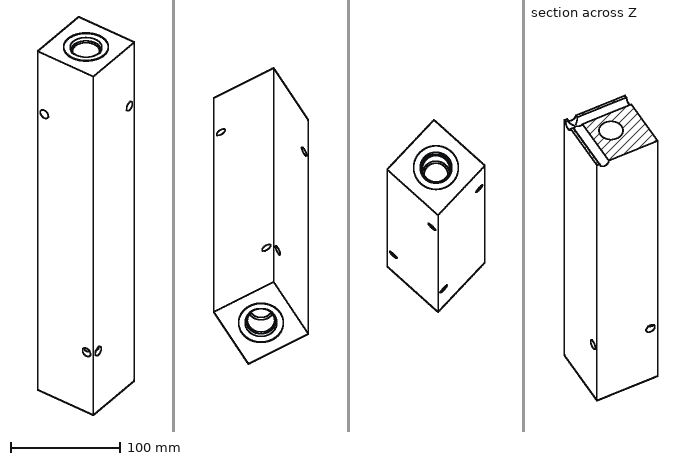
import cadquery as cq

height = 393.7
width = 63.5

bore_dia = 21.5
spotface_dia = 41.0
spotface_depth = 0.8
seat_mouth_dia = 29.0
seat_root_dia = 27.0
seat_depth = 3.0
counterbore_dia = 24.8
lead_in_depth = (seat_root_dia - counterbore_dia) / 2
counterbore_depth = 27.5
floor_cone_depth = 1.5

mount_hole_dia = 9.0
mount_hole_offset = 24.0
mount_hole_end_distance = 69.5


def make_port():
    """Revolved cutter for the top end: spotface, steep seat, lead-in, counterbore, conical floor."""
    seat_top = height - spotface_depth
    seat_bottom = seat_top - seat_depth
    lead_in_bottom = seat_bottom - lead_in_depth
    counterbore_bottom = height - counterbore_depth
    floor_bottom = counterbore_bottom - floor_cone_depth
    profile = [
        (0, height),
        (spotface_dia / 2, height),
        (spotface_dia / 2, seat_top),
        (seat_mouth_dia / 2, seat_top),
        (seat_root_dia / 2, seat_bottom),
        (counterbore_dia / 2, lead_in_bottom),
        (counterbore_dia / 2, counterbore_bottom),
        (bore_dia / 2, floor_bottom),
        (0, floor_bottom),
    ]
    return cq.Workplane("XZ").polyline(profile).close().revolve(360, (0, 0), (0, 1))


def make_mount_hole(plane, across, z):
    """Cylinder through the full width, normal to the given plane."""
    return (
        cq.Workplane(plane)
        .center(across, z)
        .circle(mount_hole_dia / 2)
        .extrude(width / 2, both=True)
    )


bar = cq.Workplane("XY").box(width, width, height, centered=(True, True, False))
bore = cq.Workplane("XY").circle(bore_dia / 2).extrude(height)
top_port = make_port()
bottom_port = top_port.mirror("XY", (0, 0, height / 2))

result = bar.cut(bore).cut(top_port).cut(bottom_port)

for side, z in ((-1, height - mount_hole_end_distance), (1, mount_hole_end_distance)):
    result = result.cut(make_mount_hole("XZ", side * mount_hole_offset, z))
    result = result.cut(make_mount_hole("YZ", -side * mount_hole_offset, z))